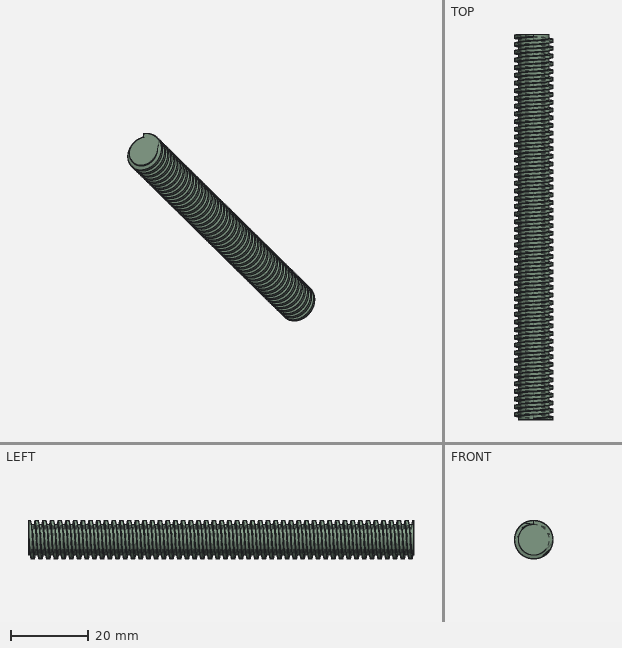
import cadquery as cq

rod_length = 100.0
major_radius = 5.0
root_radius = 4.0
pitch = 2.0
crest_width = 0.8
flank_run = 0.2
tooth_offset = -0.1
root_overlap = 0.1


def make_core():
    """Cylinder at the thread's root radius along Z, one pitch too long at each end."""
    overlong_length = rod_length + 2 * pitch
    return cq.Workplane("XY", origin=(0, 0, -pitch)).circle(root_radius).extrude(overlong_length)


def make_tooth():
    """Symmetric trapezoidal tooth swept along a right-handed helix over the whole rod."""
    base_radius = root_radius - root_overlap
    flank_slope = flank_run / (major_radius - root_radius)
    half_crest = crest_width / 2
    half_base = half_crest + flank_slope * (major_radius - base_radius)
    profile = cq.Workplane("XZ").polyline(
        [
            (base_radius, -half_base),
            (major_radius, -half_crest),
            (major_radius, half_crest),
            (base_radius, half_base),
        ]
    ).close()
    helix = cq.Wire.makeHelix(pitch, rod_length, root_radius)
    tooth = profile.sweep(cq.Workplane(obj=helix), isFrenet=True)
    return tooth.translate((0, 0, tooth_offset))


def trim_to_length(body):
    """Keep only what lies between the two end planes of the rod."""
    envelope_side = 3 * major_radius
    envelope = cq.Workplane("XY").rect(envelope_side, envelope_side).extrude(rod_length)
    return body.intersect(envelope, clean=False)


def lay_along_y(body):
    """Centre the rod on the origin along Y, with the thread starting at the top (+Z)."""
    centred = body.translate((0, 0, -rod_length / 2))
    start_turned = centred.rotate((0, 0, 0), (0, 0, 1), -90)
    return start_turned.rotate((0, 0, 0), (1, 0, 0), -90)


overlong_rod = make_core().union(make_tooth(), clean=False)
result = lay_along_y(trim_to_length(overlong_rod)).solids()